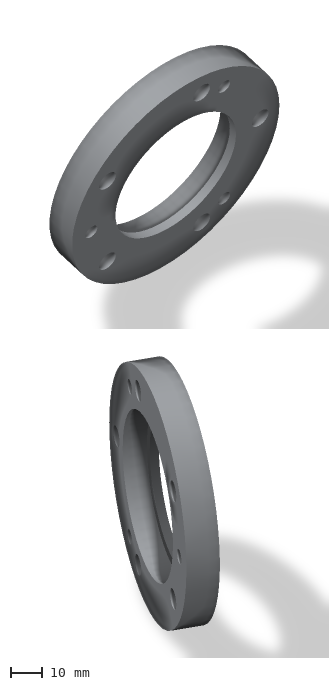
import cadquery as cq
import math

outer_diameter = 86.0
thickness = 11.0
bore_diameter = 50.0
counterbore_diameter = 56.0
counterbore_depth = 8.0

pitch_diameter = 70.0
bolt_hole_diameter = 7.0
bolt_hole_count = 5
pin_hole_diameter = 5.0
pin_hole_angles = (55, 180, -55)


def cylinder_along_x(diameter, length):
    """Cylinder centred on the X axis, starting at X = 0."""
    return cq.Workplane("YZ").circle(diameter / 2).extrude(length)


def holes_on_pitch_circle(diameter, angles):
    """Cutting cylinders through the full thickness at the given angles."""
    pitch_radius = pitch_diameter / 2
    centres = [
        (pitch_radius * math.cos(math.radians(angle)), pitch_radius * math.sin(math.radians(angle)))
        for angle in angles
    ]
    return cq.Workplane("YZ").pushPoints(centres).circle(diameter / 2).extrude(thickness)


bolt_hole_angles = [index * 360 / bolt_hole_count for index in range(bolt_hole_count)]

result = (
    cylinder_along_x(outer_diameter, thickness)
    .cut(cylinder_along_x(bore_diameter, thickness))
    .cut(cylinder_along_x(counterbore_diameter, counterbore_depth))
    .cut(holes_on_pitch_circle(bolt_hole_diameter, bolt_hole_angles))
    .cut(holes_on_pitch_circle(pin_hole_diameter, pin_hole_angles))
)